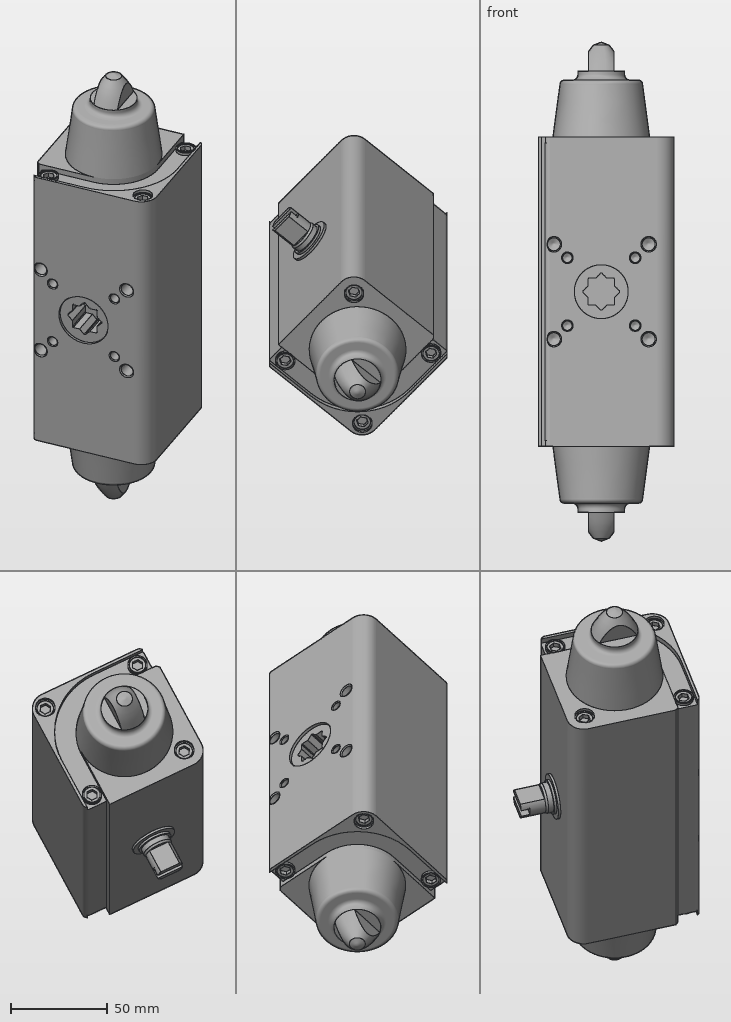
import cadquery as cq
import math


overall_length = 259.0
block_half_height = 80.3
back_reach = 32.6
front_reach = 37.8
back_width_end = 25.0
front_width_end = 29.3
main_corner_radius = 8.8
front_edge_radius = 2.8
back_edge_chamfer = 1.5

strip_depth = 3.0
strip_outer_radius = 36.3

screw_near_offset = 23.0
screw_far_offset = 30.5
screw_diameter = 10.0
screw_rim_diameter = 8.5
screw_recess = 0.5
screw_top_drop = 1.5
hex_across_flats = 5.2
hex_depth = 2.5

cap_top_radius = 21.5
cap_edge_height = 107.5
cap_top_height = 109.8
cap_edge_radius = cap_top_height - cap_edge_height
collar_radius = 12.2
collar_start_height = 112.7
collar_top_height = 114.5
collar_fillet = collar_start_height - cap_top_height
tip_bulge_radius = 9.3
tip_bulge_height = 120.5
tip_end_radius = 4.1
tip_end_height = 128.0
tip_half_thickness = 6.7

large_hole_diameter = 6.7
large_hole_mouth = 8.0
large_hole_offset = 24.5
small_hole_diameter = 5.0
small_hole_mouth = 6.0
small_hole_offset = 17.5
mount_hole_depth = 10.4
drill_point_angle = 118.0

pinion_diameter = 28.0
pinion_recess = 1.5
pinion_back = 26.0
journal_diameter = 18.5
washer_diameter = 24.0
washer_end = back_reach + 1.3
journal_end = washer_end + 1.3
neck_diameter = 16.0
neck_end = 38.0
drive_diameter = 15.0
shoulder_y = 39.4
shaft_end = 52.5
flat_half_width = 5.2
end_slot_width = 4.1
end_slot_depth = 4.7
star_square = 14.0
star_tip_diameter = 19.2
star_depth = 16.0


def y_cylinder(diameter, start, end):
    """Cylinder on the Y axis between two Y positions."""
    plane = cq.Workplane("XZ", origin=(0, end, 0))
    return plane.circle(diameter / 2).extrude(end - start)


def rectangle_prism(x_range, y_range, half_height):
    size_x = x_range[1] - x_range[0]
    size_y = y_range[1] - y_range[0]
    centre = (sum(x_range) / 2, sum(y_range) / 2, 0)
    return cq.Workplane("XY").box(size_x, size_y, 2 * half_height).translate(centre)


def back_part(half_height):
    """Raised back part of the block, with one corner rounded concentric with the cap."""
    part = rectangle_prism((-back_reach, back_width_end), (-back_width_end, back_reach), half_height)
    part = part.edges("|Z and <X and >Y").fillet(main_corner_radius)
    part = part.edges("|Z and <X and <Y").chamfer(back_edge_chamfer)
    return part.edges("|Z and >X and <Y").fillet(back_width_end)


def front_part(half_height):
    """Front part of the block, offset diagonally from the back part."""
    part = rectangle_prism((-front_width_end, front_reach), (-front_reach, front_width_end), half_height)
    part = part.edges("|Z and >X and <Y").fillet(main_corner_radius)
    part = part.edges("|Z and <X and <Y").fillet(front_edge_radius)
    return part.edges("|Z and >X and >Y").fillet(front_edge_radius)


def strip_area(half_height):
    """Area inside the rim of the front part: straight sides joined by one large arc."""
    area = rectangle_prism((-front_reach, strip_outer_radius), (-strip_outer_radius, front_reach), half_height)
    return area.edges("|Z and >X and <Y").fillet(strip_outer_radius)


def make_block():
    """Back and front parts joined, with the strip sunk into both end faces."""
    floor_height = block_half_height - strip_depth
    rim = front_part(block_half_height).cut(strip_area(block_half_height))
    lower_front = front_part(floor_height)
    return lower_front.union(rim).union(back_part(block_half_height))


def make_cap():
    """Spring cap with its collar and flattened adjuster tip, on the +Z end."""
    cap_edge_run = cap_edge_radius * math.sqrt(0.5)
    profile = (
        cq.Workplane("XZ")
        .moveTo(0, block_half_height - strip_depth)
        .lineTo(back_width_end, block_half_height - strip_depth)
        .lineTo(back_width_end, block_half_height)
        .lineTo(cap_top_radius, cap_edge_height)
        .threePointArc(
            (cap_top_radius - cap_edge_radius + cap_edge_run, cap_edge_height + cap_edge_run),
            (cap_top_radius - cap_edge_radius, cap_top_height),
        )
        .lineTo(collar_radius + collar_fillet, cap_top_height)
        .radiusArc((collar_radius, collar_start_height), collar_fillet)
        .lineTo(collar_radius, collar_top_height)
        .threePointArc((tip_bulge_radius, tip_bulge_height), (tip_end_radius, tip_end_height))
        .lineTo(0, overall_length / 2)
        .close()
    )
    cap = profile.revolve(360, (0, 0, 0), (0, 1, 0))
    tip_height = overall_length / 2 - collar_top_height
    for side in (-1, 1):
        side_cut = cq.Workplane("XY").box(collar_radius, 2 * collar_radius, tip_height)
        cut_x = side * (tip_half_thickness + collar_radius / 2)
        cap = cap.cut(side_cut.translate((cut_x, 0, collar_top_height + tip_height / 2)))
    return cap


def screw_positions():
    return [
        (x, y)
        for x in (-screw_near_offset, screw_far_offset)
        for y in (screw_near_offset, -screw_far_offset)
    ]


def make_screw_bores():
    """Clearance above the four screw heads on the +Z end."""
    bore_floor = block_half_height - screw_top_drop
    plane = cq.Workplane("XY", origin=(0, 0, bore_floor)).pushPoints(screw_positions())
    return plane.circle(screw_diameter / 2).extrude(screw_top_drop)


def make_screw_heads():
    """Four screw heads on the +Z end, rooted below the strip floor."""
    head_top = block_half_height - screw_top_drop
    head_bottom = block_half_height - 2 * strip_depth
    plane = cq.Workplane("XY", origin=(0, 0, head_bottom)).pushPoints(screw_positions())
    return plane.circle(screw_diameter / 2).extrude(head_top - head_bottom)


def make_screw_sockets():
    """Shallow round recess with a hexagon socket in each screw head."""
    hex_across_corners = hex_across_flats / math.cos(math.radians(30))
    head_top = block_half_height - screw_top_drop
    plane = cq.Workplane("XY", origin=(0, 0, head_top)).pushPoints(screw_positions())
    recesses = plane.circle(screw_rim_diameter / 2).extrude(-screw_recess)
    hexagons = plane.polygon(6, hex_across_corners).extrude(-screw_recess - hex_depth)
    return recesses.union(hexagons)


def both_ends(shape):
    """The shape on the +Z end together with its mirror on the -Z end."""
    return shape.add(shape.mirror("XY").vals())


def make_mount_hole(diameter, mouth_diameter):
    """Chamfered blind hole with a drill point, bored from the front face along +Y."""
    radius = diameter / 2
    mouth_radius = mouth_diameter / 2
    point_length = radius / math.tan(math.radians(drill_point_angle / 2))
    face = -front_reach
    profile = cq.Workplane("XY").polyline([
        (0, face),
        (mouth_radius, face),
        (radius, face + mouth_radius - radius),
        (radius, face + mount_hole_depth),
        (0, face + mount_hole_depth + point_length),
    ]).close()
    return profile.revolve(360, (0, 0, 0), (0, 1, 0))


def drill_mount_holes(housing):
    patterns = (
        (large_hole_diameter, large_hole_mouth, large_hole_offset),
        (small_hole_diameter, small_hole_mouth, small_hole_offset),
    )
    for diameter, mouth_diameter, offset in patterns:
        hole = make_mount_hole(diameter, mouth_diameter)
        for i in (-1, 1):
            for j in (-1, 1):
                housing = housing.cut(hole.translate((i * offset, 0, j * offset)))
    return housing


def make_housing():
    """Block, screws and caps as one solid, bored through for the pinion shaft."""
    housing = make_block()
    housing = housing.cut(both_ends(make_screw_bores()))
    housing = housing.union(both_ends(make_screw_heads()))
    housing = housing.cut(both_ends(make_screw_sockets()))
    housing = housing.union(both_ends(make_cap()))
    housing = drill_mount_holes(housing)
    housing = housing.cut(y_cylinder(pinion_diameter, -front_reach, pinion_back))
    return housing.cut(y_cylinder(journal_diameter, pinion_back, back_reach))


def make_star_socket():
    """Eight-pointed star: two squares at 45 degrees to each other, with rounded tips."""
    face_y = pinion_recess - front_reach
    square = cq.Workplane("XY").box(star_square, star_depth, star_square)
    square = square.translate((0, face_y + star_depth / 2, 0))
    star = square.union(square.rotate((0, 0, 0), (0, 1, 0), 45))
    return star.intersect(y_cylinder(star_tip_diameter, face_y, face_y + star_depth))


def make_pinion_shaft():
    """Pinion with its washer, tapered neck and slotted drive end with two flats."""
    shaft = y_cylinder(pinion_diameter, pinion_recess - front_reach, pinion_back)
    shaft = shaft.union(y_cylinder(journal_diameter, pinion_back, journal_end))
    shaft = shaft.union(y_cylinder(washer_diameter, back_reach, washer_end))
    shaft = shaft.union(y_cylinder(neck_diameter, journal_end, neck_end))
    taper = cq.Solid.makeCone(
        neck_diameter / 2,
        drive_diameter / 2,
        shoulder_y - neck_end,
        cq.Vector(0, neck_end, 0),
        cq.Vector(0, 1, 0),
    )
    shaft = shaft.union(cq.Workplane(taper))

    drive_length = shaft_end - shoulder_y
    flats = cq.Workplane("XY").box(drive_diameter, drive_length, 2 * flat_half_width)
    drive = y_cylinder(drive_diameter, shoulder_y, shaft_end)
    drive = drive.intersect(flats.translate((0, shoulder_y + drive_length / 2, 0)))
    slot = cq.Workplane("XY").box(drive_diameter, end_slot_depth, end_slot_width)
    drive = drive.cut(slot.translate((0, shaft_end - end_slot_depth / 2, 0)))

    return shaft.union(drive).cut(make_star_socket())


housing = make_housing().solids()
pinion_shaft = make_pinion_shaft().solids()

result = cq.Compound.makeCompound([housing.val(), pinion_shaft.val()])